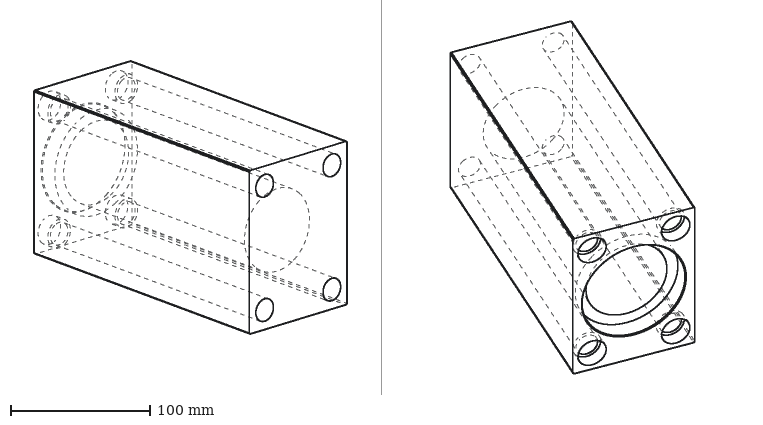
import cadquery as cq

length = 231.0
width = 95.0
height = 125.0
edge_chamfer = 1.0

recess_diameter = 80.2
recess_depth = 14.0
mouth_chamfer = 0.7
bore_diameter = 63.0
end_wall = 23.0
bore_depth = length - end_wall

hole_diameter = 17.0
counterbore_diameter = 22.0
counterbore_depth = 10.5
hole_pitch_y = 65.1
hole_pitch_z = 95.0


def entry_cylinder(diameter, depth, y=0.0, z=0.0):
    """Cylinder running along +X from the entry face at x = 0."""
    return cq.Workplane("YZ").center(y, z).circle(diameter / 2).extrude(depth)


def make_block():
    """Rectangular block, centred on the X axis, with chamfered long edges."""
    block = cq.Workplane("XY").box(length, width, height, centered=(False, True, True))
    return block.edges("|X").chamfer(edge_chamfer)


def make_bore():
    """Bore and its wider entry recess, with a small chamfer at the mouth."""
    bore = entry_cylinder(bore_diameter, bore_depth)
    recess = entry_cylinder(recess_diameter, recess_depth)
    mouth_radius = recess_diameter / 2 + mouth_chamfer
    mouth = cq.Workplane(cq.Solid.makeCone(
        mouth_radius, recess_diameter / 2, mouth_chamfer, cq.Vector(0, 0, 0), cq.Vector(1, 0, 0)
    ))
    return bore.union(recess).union(mouth)


def make_corner_hole(y, z):
    """Through hole with a counterbore at the entry face."""
    hole = entry_cylinder(hole_diameter, length, y, z)
    return hole.union(entry_cylinder(counterbore_diameter, counterbore_depth, y, z))


result = make_block().cut(make_bore())
for side_y in (-1, 1):
    for side_z in (-1, 1):
        result = result.cut(make_corner_hole(side_y * hole_pitch_y / 2, side_z * hole_pitch_z / 2))